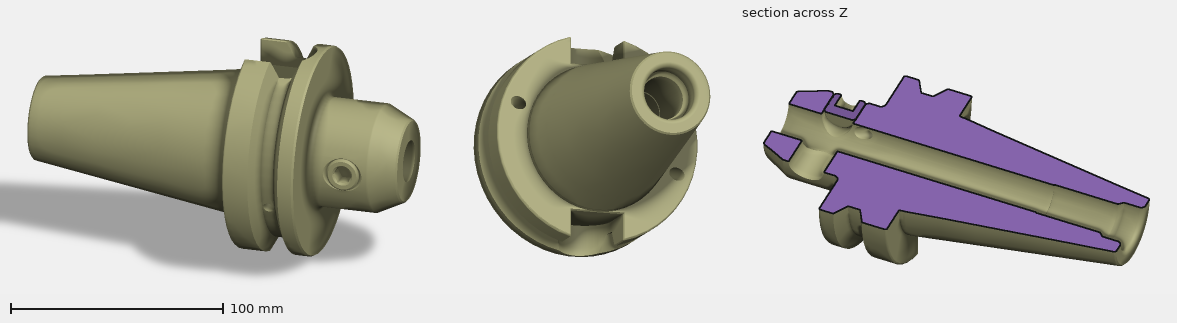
import cadquery as cq
import math

taper_length = 101.8
gauge_radius = 69.85 / 2
taper_ratio = 7 / 24
tail_radius = gauge_radius - taper_length * taper_ratio / 2
tail_chamfer = 0.8
taper_end = 0.3
taper_end_radius = gauge_radius + taper_end * taper_ratio / 2
neck_step_start = 1.3
neck_step_end = 2.5
neck_radius = 35.2

flange_start = 3.0
flange_end = 38.0
flange_radius = 50.0
front_rim_rounding = 1.0
rear_rim_chamfer = 1.0
rear_rim_drop = 0.5
groove_center = 23.0
groove_floor_width = 6.0
groove_radius = 42.5
groove_flank_angle = math.radians(30)

nose_end = 80.0
nose_radius = 26.0
nose_root_fillet = 2.5
nose_cone_start = 67.0
nose_blend_radius = 2.0
nose_tip_radius = 20.0
nose_tip_chamfer = 0.8

bore_radius = 10.0
thread_bore_radius = 20.75 / 2
thread_bore_length = 45.0
pilot_radius = 12.5
mouth_rounding = 2.3
pilot_depth = 10.2

slot_width = 25.7
slot_floor_height = 35.4
slot_end = 34.5
slot_entry_flare = 0.6
slot_entry_length = 1.0
slot_rim_chamfer = 0.6

coolant_angle = 20.0
coolant_entry_radius = 42.0
coolant_radius = 3.0
coolant_tilt = math.radians(40.0)
coolant_lead = 5.0
vent_radius = 2.5

screw_x = 55.0
screw_radius = 8.0
screw_length = 14.0
screw_chamfer = 1.0
socket_across_flats = 8.0
socket_depth = 8.0
socket_rim_radius = 5.0
countersink_radius = 9.5
balance_hole_radius = 9.0


def build_body():
    flank_run = (flange_radius - groove_radius) * math.tan(groove_flank_angle)
    groove_left = groove_center - groove_floor_width / 2
    groove_right = groove_center + groove_floor_width / 2
    cone_angle = math.atan2(nose_radius - nose_tip_radius, nose_end - nose_tip_chamfer - nose_cone_start)
    blend_reach = nose_blend_radius * math.tan(cone_angle / 2)
    blend_end = (
        nose_cone_start + blend_reach * math.cos(cone_angle),
        nose_radius - blend_reach * math.sin(cone_angle),
    )
    profile = (
        cq.Workplane("XZ")
        .moveTo(-taper_length, 0)
        .lineTo(-taper_length, tail_radius - tail_chamfer)
        .lineTo(-taper_length + tail_chamfer, tail_radius)
        .lineTo(taper_end, taper_end_radius)
        .lineTo(neck_step_start, taper_end_radius)
        .lineTo(neck_step_end, neck_radius)
        .lineTo(flange_start, neck_radius)
        .lineTo(flange_start, flange_radius - front_rim_rounding)
        .radiusArc((flange_start + front_rim_rounding, flange_radius), front_rim_rounding)
        .lineTo(groove_left - flank_run, flange_radius)
        .lineTo(groove_left, groove_radius)
        .lineTo(groove_right, groove_radius)
        .lineTo(groove_right + flank_run, flange_radius)
        .lineTo(flange_end - rear_rim_chamfer, flange_radius)
        .lineTo(flange_end, flange_radius - rear_rim_drop)
        .lineTo(flange_end, nose_radius + nose_root_fillet)
        .radiusArc((flange_end + nose_root_fillet, nose_radius), -nose_root_fillet)
        .lineTo(nose_cone_start - blend_reach, nose_radius)
        .radiusArc(blend_end, nose_blend_radius)
        .lineTo(nose_end - nose_tip_chamfer, nose_tip_radius)
        .lineTo(nose_end, nose_tip_radius - nose_tip_chamfer)
        .lineTo(nose_end, 0)
        .close()
    )
    return profile.revolve(360, (0, 0, 0), (1, 0, 0))


def build_bore():
    start = -taper_length
    pilot_end = start + pilot_depth
    profile = (
        cq.Workplane("XZ")
        .moveTo(start, 0)
        .lineTo(start, pilot_radius + mouth_rounding)
        .radiusArc((start + mouth_rounding, pilot_radius), -mouth_rounding)
        .lineTo(pilot_end, pilot_radius)
        .lineTo(pilot_end + pilot_radius - thread_bore_radius, thread_bore_radius)
        .lineTo(start + thread_bore_length, thread_bore_radius)
        .lineTo(start + thread_bore_length, bore_radius)
        .lineTo(nose_end, bore_radius)
        .lineTo(nose_end, 0)
        .close()
    )
    return profile.revolve(360, (0, 0, 0), (1, 0, 0))


def build_drive_slot():
    end_center = slot_end - slot_width / 2
    straight = (
        cq.Workplane("XY", origin=(0, 0, slot_floor_height))
        .rect(2 * end_center, slot_width)
        .extrude(flange_radius)
    )
    rounded = (
        cq.Workplane("XY", origin=(end_center, 0, slot_floor_height))
        .circle(slot_width / 2)
        .extrude(flange_radius)
    )
    return straight.union(rounded)


def build_slot_entry():
    """Bevel of the slot's walls and floor where it opens through the front flange face."""
    outer_height = flange_radius + slot_entry_flare
    half_width = slot_width / 2
    wide = half_width + slot_entry_flare
    low = slot_floor_height - slot_entry_flare
    return (
        cq.Workplane("YZ", origin=(flange_start, 0, 0))
        .polyline([(-wide, low), (wide, low), (wide, outer_height), (-wide, outer_height)])
        .close()
        .workplane(offset=slot_entry_length)
        .polyline([
            (-half_width, slot_floor_height), (half_width, slot_floor_height),
            (half_width, outer_height), (-half_width, outer_height)])
        .close()
        .loft(ruled=True)
    )


def bevel_slot_rims(body):
    """Chamfer the four long edges where the slot walls meet the front rim of the flange."""
    half_width = slot_width / 2
    rim_height = math.sqrt(flange_radius**2 - half_width**2)
    margin = 0.5
    for side in (1, -1):
        near_rim = cq.selectors.BoxSelector(
            (flange_start, -half_width - margin, side * rim_height - margin),
            (groove_center, half_width + margin, side * rim_height + margin),
        )
        body = body.edges("|X").edges(near_rim).chamfer(slot_rim_chamfer)
    return body


def rod(start, direction, radius, length):
    return cq.Workplane(cq.Solid.makeCylinder(radius, length, cq.Vector(*start), cq.Vector(*direction)))


def screw_mouth_cone(outer_radius, inner_radius):
    """45 degree cone that narrows inward from the top of the nose at the screw."""
    return cq.Workplane(cq.Solid.makeCone(
        outer_radius, inner_radius, outer_radius - inner_radius,
        cq.Vector(screw_x, -nose_radius, 0), cq.Vector(0, 1, 0)))


def build_coolant_passage():
    """Oblique feed from the flange face down to the bore, met by a radial vent from the groove."""
    along = math.cos(coolant_tilt)
    inward = math.sin(coolant_tilt)
    feed = rod(
        (flange_start - coolant_lead * along, coolant_entry_radius + coolant_lead * inward, 0),
        (along, -inward, 0),
        coolant_radius,
        coolant_lead + coolant_entry_radius / inward,
    )
    vent_bottom = coolant_entry_radius - (groove_center - flange_start) * math.tan(coolant_tilt)
    vent = rod((groove_center, vent_bottom, 0), (0, 1, 0), vent_radius, flange_radius - vent_bottom)
    return feed.union(vent).rotate((0, 0, 0), (1, 0, 0), coolant_angle)


def build_screw_hole():
    hole = rod((screw_x, 0, 0), (0, -1, 0), screw_radius, nose_radius)
    return hole.union(screw_mouth_cone(countersink_radius, screw_radius))


def build_balance_hole():
    return rod((screw_x, 0, 0), (0, 1, 0), balance_hole_radius, nose_radius)


def build_screw():
    screw = rod((screw_x, -nose_radius, 0), (0, 1, 0), screw_radius, screw_length)
    screw = screw.faces("<Y or >Y").chamfer(screw_chamfer)
    socket = (
        cq.Workplane("XZ", origin=(screw_x, -nose_radius, 0))
        .polygon(6, socket_across_flats / math.cos(math.pi / 6))
        .extrude(-socket_depth)
    )
    return screw.cut(socket).cut(screw_mouth_cone(socket_rim_radius, socket_across_flats / 2))


def build_holder():
    holder = build_body().cut(build_bore())
    for turn in (0, 180):
        holder = holder.cut(build_drive_slot().rotate((0, 0, 0), (1, 0, 0), turn))
    holder = bevel_slot_rims(holder)
    for turn in (0, 180):
        holder = holder.cut(build_slot_entry().rotate((0, 0, 0), (1, 0, 0), turn))
        holder = holder.cut(build_coolant_passage().rotate((0, 0, 0), (1, 0, 0), turn))
    return holder.cut(build_screw_hole()).cut(build_balance_hole())


holder = build_holder()
clamping_screw = build_screw()

result = cq.Compound.makeCompound([holder.val(), clamping_screw.val()])